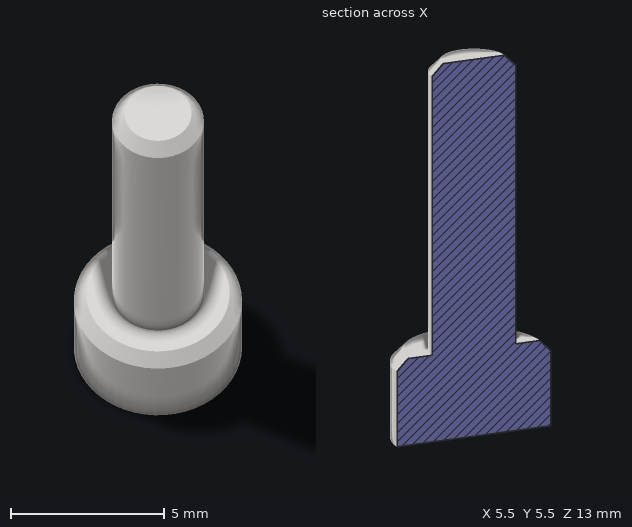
import cadquery as cq

total_length = 13.0
head_diameter = 5.5
shank_diameter = 3.0
head_height = shank_diameter
edge_chamfer = 0.4

head = (
    cq.Workplane("XY")
    .circle(head_diameter / 2)
    .extrude(head_height)
    .faces(">Z")
    .chamfer(edge_chamfer)
)

shank = (
    cq.Workplane("XY")
    .circle(shank_diameter / 2)
    .extrude(total_length)
    .faces(">Z")
    .chamfer(edge_chamfer)
)

result = head.union(shank)